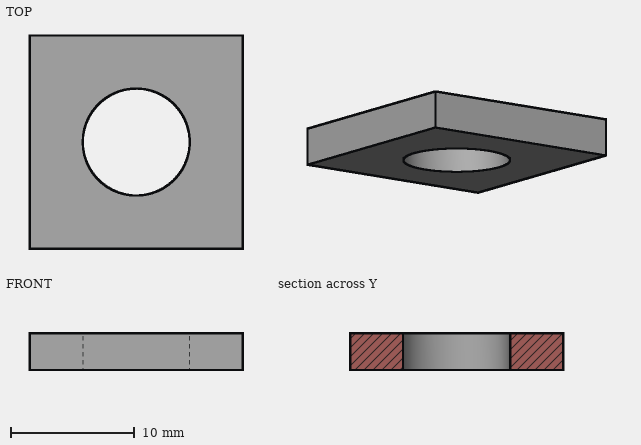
import cadquery as cq

plate_side = 17.27
plate_thickness = 3.0
hole_diameter = 8.64


def square_plate():
    """Square plate centred on the origin in X and Y, with its base at Z = 0."""
    return cq.Workplane("XY").rect(plate_side, plate_side).extrude(plate_thickness)


def with_centre_hole(plate):
    """Cut the round through hole at the centre of the plate."""
    return plate.faces(">Z").workplane().hole(hole_diameter)


result = with_centre_hole(square_plate())